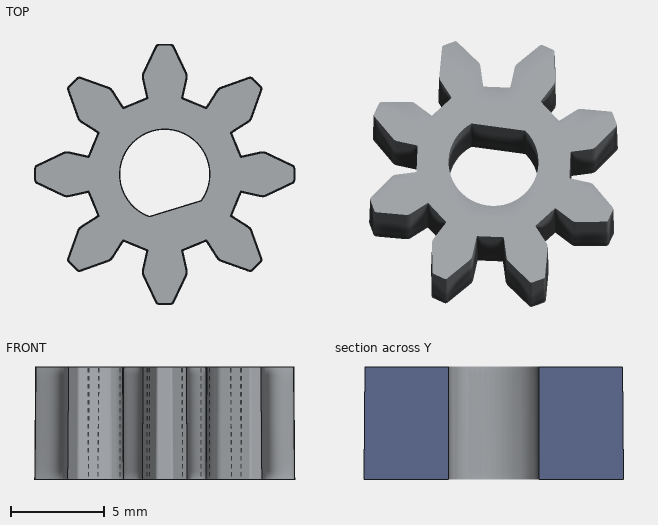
import cadquery as cq
import math

outer_diameter = 13.87
height = 6.0
tooth_count = 8
draft_angle = 0.5

tip_radius = outer_diameter / 2
tip_half_width = 0.43
shoulder_half_width = 1.22
shoulder_radius = 5.27
root_half_width = 0.96
root_radius = 4.08
shoulder_fillet = 0.42
tip_fillet = 0.18

bore_radius = 2.4
flat_distance = 1.91
flat_angle = 17.0


def gear_outline():
    """Closed list of sharp corners, tooth by tooth, with the fillet of each corner."""
    half_tooth = [
        (root_half_width, root_radius, 0),
        (shoulder_half_width, shoulder_radius, shoulder_fillet),
        (tip_half_width, tip_radius, tip_fillet),
    ]
    tooth = half_tooth + [(-x, y, fillet) for x, y, fillet in reversed(half_tooth)]
    corners = []
    for index in range(tooth_count):
        turn = 2 * math.pi * index / tooth_count
        cosine = math.cos(turn)
        sine = math.sin(turn)
        for x, y, fillet in tooth:
            corners.append((cq.Vector(x * cosine - y * sine, x * sine + y * cosine), fillet))
    return corners


def rounded_wire(corners):
    """Join the corners with straight lines and tangent arcs."""
    path = None
    for index, (corner, fillet) in enumerate(corners):
        to_previous = (corners[index - 1][0] - corner).normalized()
        to_next = (corners[(index + 1) % len(corners)][0] - corner).normalized()
        half_angle = to_previous.getAngle(to_next) / 2
        setback = fillet / math.tan(half_angle)
        start = corner + to_previous * setback
        path = path.lineTo(start.x, start.y) if path else cq.Workplane().moveTo(start.x, start.y)
        if fillet:
            bisector = (to_previous + to_next).normalized()
            middle = corner + bisector * (fillet / math.sin(half_angle) - fillet)
            end = corner + to_next * setback
            path = path.threePointArc((middle.x, middle.y), (end.x, end.y))
    return path.close()


def bore():
    """Straight round bore with one flat, running right through the gear."""
    half_chord = math.sqrt(bore_radius**2 - flat_distance**2)
    d_section = (
        cq.Workplane()
        .moveTo(-half_chord, -flat_distance)
        .threePointArc((0, bore_radius), (half_chord, -flat_distance))
        .close()
        .extrude(height)
    )
    return d_section.rotate((0, 0, 0), (0, 0, 1), flat_angle)


gear = rounded_wire(gear_outline()).extrude(height, taper=draft_angle)
result = gear.cut(bore())